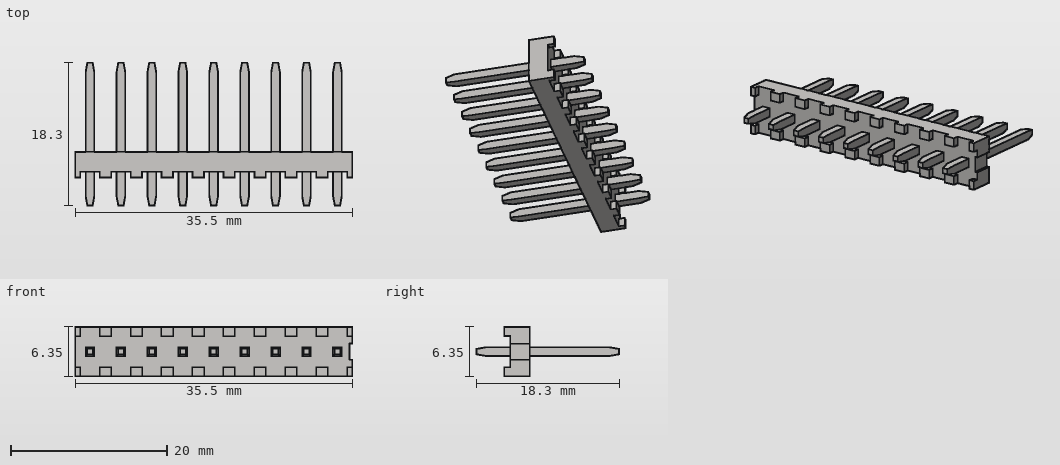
import cadquery as cq

pin_count = 9
pitch = 3.96
pin_width = 1.14
tip_width = 0.7
tip_length = 1.2
rear_pin_length = 11.43
front_pin_length = 3.56

housing_length = 35.51
housing_depth = 3.30
housing_height = 6.35
recess_depth = 0.76
slot_width = 2.47
lip_height = 1.18

notch_depth = 0.36
notch_height = 2.03

pin_positions = [(i - (pin_count - 1) / 2) * pitch for i in range(pin_count)]


def front_recess(length, height):
    """Cutter of the given size that sinks recess_depth into the front face."""
    return cq.Workplane("XY").box(length, recess_depth, height, centered=(True, False, True))


def make_housing():
    """Bar with a vertical slot at each pin, a channel along its front and an end notch."""
    body = cq.Workplane("XY").box(
        housing_length, housing_depth, housing_height, centered=(True, False, True)
    )
    body = body.cut(front_recess(housing_length, housing_height - 2 * lip_height))
    for x in pin_positions:
        body = body.cut(front_recess(slot_width, housing_height).translate((x, 0, 0)))
    notch = cq.Workplane("XY").box(
        notch_depth, housing_depth, notch_height, centered=(False, False, True)
    )
    return body.cut(notch.translate((housing_length / 2 - notch_depth, 0, 0)))


def make_tip():
    """Square tip that narrows toward +Y, with its base on Y = 0."""
    return (
        cq.Workplane("XZ")
        .rect(pin_width, pin_width)
        .workplane(offset=-tip_length)
        .rect(tip_width, tip_width)
        .loft(ruled=True)
    )


def make_pin():
    """Square pin along Y with a tapered tip at each end."""
    shank_front = tip_length - front_pin_length
    shank_rear = housing_depth + rear_pin_length - tip_length
    shank = (
        cq.Workplane("XY")
        .box(pin_width, shank_rear - shank_front, pin_width, centered=(True, False, True))
        .translate((0, shank_front, 0))
    )
    rear_tip = make_tip().translate((0, shank_rear, 0))
    front_tip = make_tip().mirror("XZ").translate((0, shank_front, 0))
    return shank.union(rear_tip).union(front_tip)


result = make_housing()
pin = make_pin()
for x in pin_positions:
    result = result.union(pin.translate((x, 0, 0)))